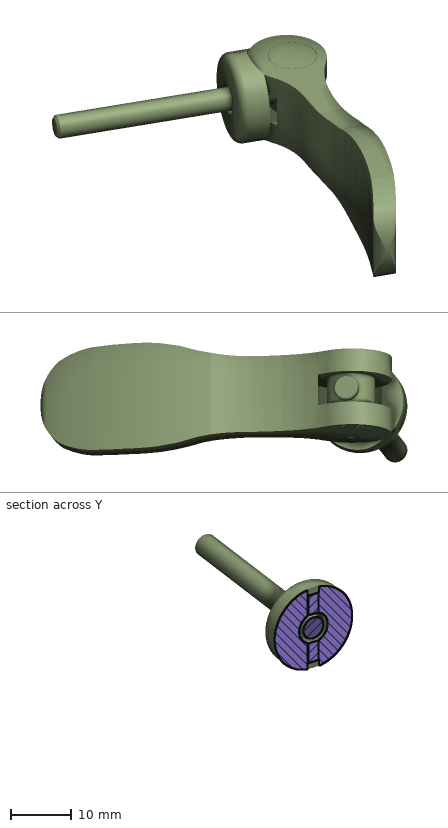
import cadquery as cq
import math


overall_length = 60.0
pad_diameter = 15.4

cam_radius = 6.65
cam_offset = 0.95
upper_tangent_angle = 60
lower_tangent_angle = -47
fork_half_height = 6.5
slot_half_height = 2.65
slot_diameter = 14.0

handle_tip_x = overall_length - pad_diameter / 2
paddle_half_height = 9.0

pin_diameter = 8.0
pin_hole_diameter = 8.1

stud_diameter = 4.0
stud_top = 4.85
stud_bottom = -41.3
stud_top_chamfer = 0.21
stud_tip_chamfer = 0.4

pad_top = -6.2
pad_joint = -8.1
washer_bottom = -11.2
washer_fillet = 1.4
pad_hole_diameter = 5.5
washer_hole_diameter = 5.3


def cylinder_along_z(diameter, half_height, y=0.0):
    """Cylinder parallel to Z, centred on the XY plane."""
    return cq.Workplane("XY").center(0, y).circle(diameter / 2).extrude(half_height, both=True)


def cylinder_along_y(diameter, bottom, top):
    """Cylinder on the Y axis between two heights."""
    return cq.Workplane("XZ", origin=(0, top, 0)).circle(diameter / 2).extrude(top - bottom)


def cam_point(angle):
    """Point on the cam circle, with the angle in degrees from +X."""
    turn = math.radians(angle)
    return (cam_radius * math.cos(turn), -cam_offset + cam_radius * math.sin(turn))


def lever_side_profile():
    """Cam circle running into the curved handle, in the XY plane."""
    upper_tangent = cam_point(upper_tangent_angle)
    lower_tangent = cam_point(lower_tangent_angle)
    return (
        cq.Workplane("XY")
        .moveTo(*lower_tangent)
        .threePointArc((-cam_radius, -cam_offset), upper_tangent)
        .threePointArc((6.6, 3.55), (11.1, 2.95))
        .threePointArc((16.2, 3.2), (20.4, 4.1))
        .lineTo(22.8, 4.75)
        .threePointArc((33.6, 5.65), (50.95, 2.7))
        .threePointArc((handle_tip_x, 1.2), (51.8, -0.4))
        .threePointArc((51.1, -0.9), (50.05, -0.9))
        .threePointArc((37.2, 1.45), (26.5, 1.15))
        .lineTo(22.55, 0.4)
        .threePointArc((17.7, -0.8), (12.7, -1.6))
        .lineTo(12.05, -1.75)
        .threePointArc((8.1, -3.05), (5.2, -5.3))
        .close()
        .extrude(paddle_half_height, both=True)
    )


def lever_paddle_outline():
    """Outline across Z: parallel fork and neck, widening into the rounded paddle."""
    neck_end = 18.05
    flare_middle = (21.9, 6.85)
    flare_end = (24.95, 7.4)
    shoulder_middle = (29.4, 8.5)
    shoulder_end = (34.8, paddle_half_height)
    flat_end = (35.7, paddle_half_height)
    taper_break = (39.8, 8.95)
    corner_start = (43.4, 8.75)
    corner_middle = (46.4, 8.05)
    corner_end = (48.8, 6.95)

    def mirrored(point):
        return (point[0], -point[1])

    depth = cam_radius + cam_offset
    return (
        cq.Workplane("XZ")
        .moveTo(-cam_radius, -fork_half_height)
        .lineTo(-cam_radius, fork_half_height)
        .lineTo(neck_end, fork_half_height)
        .threePointArc(flare_middle, flare_end)
        .threePointArc(shoulder_middle, shoulder_end)
        .lineTo(*flat_end)
        .lineTo(*taper_break)
        .lineTo(*corner_start)
        .threePointArc(corner_middle, corner_end)
        .threePointArc((handle_tip_x, 0), mirrored(corner_end))
        .threePointArc(mirrored(corner_middle), mirrored(corner_start))
        .lineTo(*mirrored(taper_break))
        .lineTo(*mirrored(flat_end))
        .lineTo(*mirrored(shoulder_end))
        .threePointArc(mirrored(shoulder_middle), mirrored(flare_end))
        .threePointArc(mirrored(flare_middle), (neck_end, -fork_half_height))
        .close()
        .extrude(depth, both=True)
    )


def make_lever():
    """Forked cam lever with the cross pin hole and the slot that clears the stud."""
    blank = lever_side_profile().intersect(lever_paddle_outline())
    pin_hole = cylinder_along_z(pin_hole_diameter, fork_half_height)
    slot = cylinder_along_z(slot_diameter, slot_half_height, -cam_offset)
    return blank.cut(pin_hole).cut(slot)


def make_cross_pin():
    """Pin through the fork, drilled across for the stud."""
    pin = cylinder_along_z(pin_diameter, fork_half_height)
    return pin.cut(cylinder_along_y(stud_diameter, -pin_diameter, pin_diameter))


def make_stud():
    """Long stud with both ends chamfered."""
    stud = cylinder_along_y(stud_diameter, stud_bottom, stud_top)
    return stud.faces(">Y").chamfer(stud_top_chamfer).faces("<Y").chamfer(stud_tip_chamfer)


def make_thrust_pad():
    """Upper disc, hollowed along Z to seat the cam."""
    pad = cylinder_along_y(pad_diameter, pad_joint, pad_top)
    hole = cylinder_along_y(pad_hole_diameter, pad_joint, pad_top)
    cam_seat = cylinder_along_z(2 * cam_radius, pad_diameter, -cam_offset)
    return pad.cut(hole).cut(cam_seat)


def make_base_washer():
    """Lower disc with a rounded outer rim."""
    washer = cylinder_along_y(pad_diameter, washer_bottom, pad_joint)
    washer = washer.faces("<Y").edges().fillet(washer_fillet)
    return washer.cut(cylinder_along_y(washer_hole_diameter, washer_bottom, pad_joint))


lever = make_lever()
cross_pin = make_cross_pin()
stud = make_stud()
thrust_pad = make_thrust_pad()
base_washer = make_base_washer()

result = cq.Compound.makeCompound([
    lever.val(),
    cross_pin.val(),
    stud.val(),
    thrust_pad.val(),
    base_washer.val(),
])